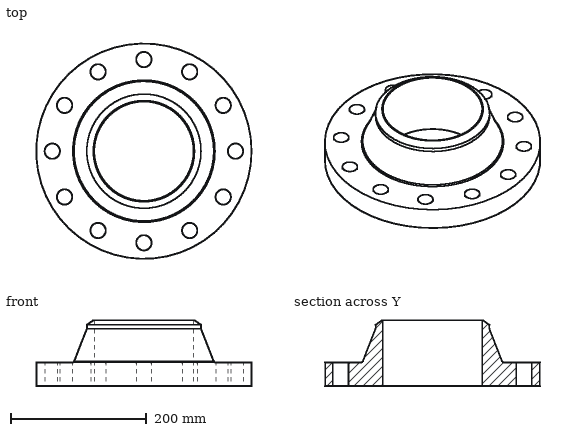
import cadquery as cq

flange_diameter = 317.5
flange_thickness = 35.0

bolt_hole_count = 12
bolt_hole_diameter = 22.2
bolt_circle_diameter = 269.8

total_height = 97.0
bore_radius = 73.0
pipe_radius = 84.0
weld_land_width = 1.5
bevel_height = 6.7
straight_height = 5.7
hub_base_radius = 102.8
foot_radius = 104.7
foot_height = 2.0

bevel_start = total_height - bevel_height
hub_top = bevel_start - straight_height
hub_bottom = flange_thickness + foot_height


def make_flange():
    return cq.Workplane("XY").circle(flange_diameter / 2).extrude(flange_thickness)


def make_neck():
    """Revolved neck: flared foot, tapered hub, short pipe end and weld bevel."""
    return (
        cq.Workplane("XZ")
        .lineTo(foot_radius, 0)
        .lineTo(foot_radius, flange_thickness)
        .lineTo(hub_base_radius, hub_bottom)
        .lineTo(pipe_radius, hub_top)
        .lineTo(pipe_radius, bevel_start)
        .lineTo(bore_radius + weld_land_width, total_height)
        .lineTo(0, total_height)
        .close()
        .revolve(360, (0, 0, 0), (0, 1, 0))
    )


def make_bore():
    return cq.Workplane("XY").circle(bore_radius).extrude(total_height)


def make_bolt_holes():
    return (
        cq.Workplane("XY")
        .polarArray(bolt_circle_diameter / 2, 0, 360, bolt_hole_count)
        .circle(bolt_hole_diameter / 2)
        .extrude(flange_thickness)
    )


result = make_flange().union(make_neck()).cut(make_bore()).cut(make_bolt_holes())